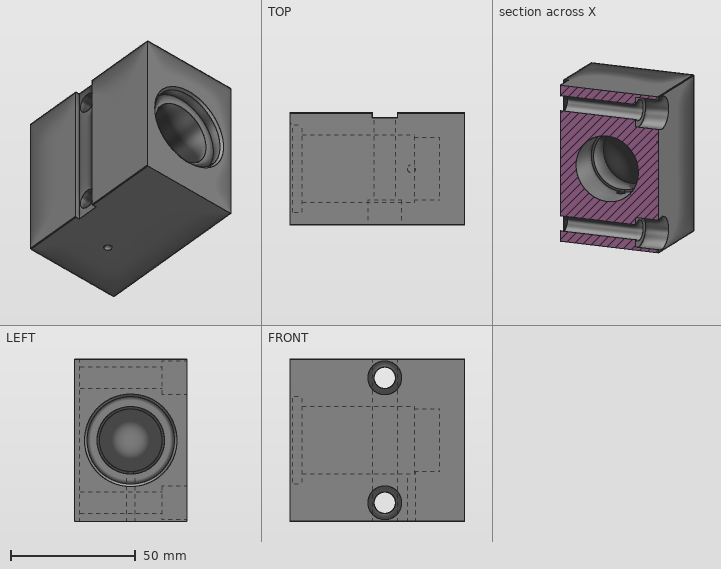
import cadquery as cq

length = 70.0
width = 45.0
height = 65.0
edge_chamfer = 0.3

mouth_diameter = 37.0
recess_diameter = 35.0
recess_depth = 5.0
bore_diameter = 27.0
bore_depth = 50.0
tip_diameter = 25.05
tip_depth = 60.0

drain_diameter = 3.3
drain_setback = 1.25

screw_x = 3.0
screw_spacing = 50.0
screw_hole_diameter = 8.55
screw_head_diameter = 13.5
screw_head_depth = 10.0
key_slot_width = 10.0
key_slot_depth = 2.0


def make_block():
    """Block centred on the origin, with its four long edges broken."""
    return cq.Workplane("XY").box(length, width, height).edges("|X").chamfer(edge_chamfer)


def make_bore():
    """Recess with a 45 degree mouth, then the main bore and its narrower blind end."""
    mouth_chamfer = (mouth_diameter - recess_diameter) / 2
    profile = [
        (0, 0),
        (0, mouth_diameter / 2),
        (mouth_chamfer, recess_diameter / 2),
        (recess_depth, recess_diameter / 2),
        (recess_depth, bore_diameter / 2),
        (bore_depth, bore_diameter / 2),
        (bore_depth, tip_diameter / 2),
        (tip_depth, tip_diameter / 2),
        (tip_depth, 0),
    ]
    entry = cq.Workplane("XY", origin=(-length / 2, 0, 0))
    return entry.polyline(profile).close().revolve(360, (0, 0, 0), (1, 0, 0))


def make_drain():
    """Hole from the -Z face that breaks into the bore across its inner shoulder."""
    drain_x = bore_depth - drain_setback - length / 2
    bottom = cq.Workplane("XY", origin=(drain_x, 0, -height / 2))
    return bottom.circle(drain_diameter / 2).extrude(height / 2)


def screw_cylinder(diameter, depth, z):
    """Cylinder reaching the given depth in from the -Y face, at height z."""
    entry = cq.Workplane("XZ", origin=(screw_x, -width / 2, z))
    return entry.circle(diameter / 2).extrude(-depth)


def make_key_slot():
    """Shallow slot over the full height of the +Y face."""
    slot = cq.Workplane("XY").box(key_slot_width, key_slot_depth, height)
    return slot.translate((screw_x, (width - key_slot_depth) / 2, 0))


def make_screw_hole(z):
    """Through hole with its screw head sunk into the -Y face."""
    through_hole = screw_cylinder(screw_hole_diameter, width, z)
    return through_hole.union(screw_cylinder(screw_head_diameter, screw_head_depth, z))


result = make_block().cut(make_bore()).cut(make_drain()).cut(make_key_slot())

for screw_z in (-screw_spacing / 2, screw_spacing / 2):
    result = result.cut(make_screw_hole(screw_z))